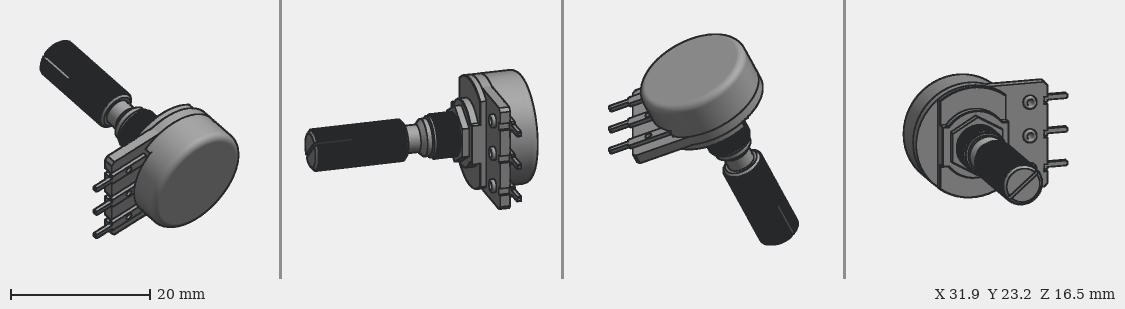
import cadquery as cq
import math


knurl_end = 14.0
neck_end = 16.0
cone_end = 16.78
collar_end = 17.55
bushing_start = 17.75
thread_start = 18.12
nut_start = 21.65
nut_end = 22.7
disc_start = 23.92
plate_start = 24.9
plate_end = 26.45
total_length = 31.9

total_width = 23.25

knurl_radius = 3.03
knurl_root_radius = 2.87
knurl_teeth = 60
knurl_chamfer_length = 0.48
knurl_chamfer_depth = 0.55
neck_radius = 2.0
slot_width = 0.48
slot_depth = 6.0
slot_angle = 140.0

collar_radius = 2.75
gap_radius = 2.25
bushing_radius = 3.03
thread_crest_radius = 3.25
thread_turns = 12
nut_across_flats = 7.5

flat_half_width = 4.98
boss_radius = 5.0
arm_half_height = 2.97
arc_end_height = 3.38
edge_chamfer = 0.1

housing_diameter = 16.5
housing_radius = housing_diameter / 2
wall = 0.48
back_fillet = 1.05
window_half_height = 6.38
window_depth = 1.05

plate_radius = 8.23
plate_half_height = 7.8
plate_edge = 11.5
corner_length = 0.48
corner_height = 0.55
notch_depth = 0.5
notch_width = 1.1

terminal_pitch = 5.0
terminal_heights = [-terminal_pitch, 0.0, terminal_pitch]
terminal_thickness = 0.6
terminal_start = 5.55
terminal_shoulder = 12.0
terminal_tip = total_width - housing_radius
terminal_width = 1.5
pin_width = 0.73
terminal_chamfer = 0.2
rivet_offset = 8.8
rivet_radius = 1.0
rivet_height = 0.6
rivet_fillet = 0.3
rivet_hole_radius = 0.48
rivet_mouth_fillet = 0.2


def section(x):
    """Workplane across the shaft at station x, with local axes Y and Z."""
    return cq.Workplane("YZ", origin=(x, 0, 0))


def disc(start, end, radius):
    return section(start).circle(radius).extrude(end - start)


def revolved(profile):
    """Solid of revolution about the X axis from (x, radius) points."""
    return cq.Workplane("XY").polyline(profile).close().revolve(360, (0, 0, 0), (1, 0, 0))


def make_knurled_shaft():
    tip_radius = knurl_radius - knurl_chamfer_depth
    envelope = revolved([
        (0, 0),
        (0, tip_radius),
        (knurl_chamfer_length, knurl_radius),
        (knurl_end - knurl_chamfer_length, knurl_radius),
        (knurl_end, tip_radius),
        (knurl_end, 0),
    ])
    half_pitch = math.pi / knurl_teeth
    outline = []
    for i in range(2 * knurl_teeth):
        radius = knurl_radius if i % 2 == 0 else knurl_root_radius
        outline.append((radius * math.cos(i * half_pitch), radius * math.sin(i * half_pitch)))
    teeth = section(0).polyline(outline).close().extrude(knurl_end)
    slot = (
        section(0)
        .transformed(rotate=(0, 0, slot_angle))
        .rect(3 * knurl_radius, slot_width)
        .extrude(slot_depth)
    )
    return teeth.intersect(envelope).cut(slot)


def make_collar_and_bushing():
    profile = [
        (knurl_end, 0),
        (knurl_end, neck_radius),
        (neck_end, neck_radius),
        (cone_end, collar_radius),
        (collar_end, collar_radius),
        (collar_end, gap_radius),
        (bushing_start, gap_radius),
        (bushing_start, bushing_radius),
        (thread_start, bushing_radius),
    ]
    pitch = (nut_start - thread_start) / thread_turns
    for i in range(thread_turns):
        root = thread_start + i * pitch
        profile.append((root + pitch / 2, thread_crest_radius))
        profile.append((root + pitch, bushing_radius))
    profile.append((nut_start, 0))
    return revolved(profile)


def make_nut():
    across_corners = nut_across_flats / math.cos(math.pi / 6)
    nut = section(nut_start).polygon(6, across_corners).extrude(nut_end - nut_start)
    return nut.rotate((0, 0, 0), (1, 0, 0), 90)


def make_mounting_base():
    arc_end = math.sqrt(boss_radius**2 - arc_end_height**2)
    arm_root = (boss_radius**2 - arc_end_height * arm_half_height) / arc_end
    boss = (
        section(nut_end)
        .moveTo(flat_half_width, -arm_half_height)
        .lineTo(flat_half_width, arm_half_height)
        .lineTo(arm_root, arm_half_height)
        .lineTo(arc_end, arc_end_height)
        .threePointArc((0, boss_radius), (-arc_end, arc_end_height))
        .lineTo(-arm_root, arm_half_height)
        .lineTo(-flat_half_width, arm_half_height)
        .lineTo(-flat_half_width, -arm_half_height)
        .lineTo(-arm_root, -arm_half_height)
        .lineTo(-arc_end, -arc_end_height)
        .threePointArc((0, -boss_radius), (arc_end, -arc_end_height))
        .lineTo(arm_root, -arm_half_height)
        .close()
        .extrude(plate_start - nut_end)
        .faces("<X")
        .chamfer(edge_chamfer)
    )
    thickness = plate_start - disc_start
    slab = section(disc_start).rect(2 * flat_half_width, 2 * housing_radius).extrude(thickness)
    base = disc(disc_start, plate_start, housing_radius).intersect(slab)
    return base.faces("<X").chamfer(edge_chamfer).union(boss)


def make_plate():
    thickness = plate_end - plate_start
    tongue = (
        section(plate_start)
        .polyline([
            (0, plate_half_height),
            (corner_length - plate_edge, plate_half_height),
            (-plate_edge, plate_half_height - corner_height),
            (-plate_edge, corner_height - plate_half_height),
            (corner_length - plate_edge, -plate_half_height),
            (0, -plate_half_height),
        ])
        .close()
        .extrude(thickness)
    )
    notches = (
        section(plate_start)
        .pushPoints([(-plate_edge, z) for z in terminal_heights])
        .rect(2 * notch_depth, notch_width)
        .extrude(thickness)
    )
    return disc(plate_start, plate_end, plate_radius).union(tongue).cut(notches)


def make_housing():
    cup = disc(plate_end, total_length, housing_radius).faces(">X").edges().fillet(back_fillet)
    cavity = disc(plate_end, total_length - wall, housing_radius - wall)
    cavity = cavity.faces(">X").edges().fillet(back_fillet - wall)
    window = (
        section(plate_end)
        .center(-housing_radius / 2, 0)
        .rect(housing_radius, 2 * window_half_height)
        .extrude(window_depth)
    )
    return cup.cut(cavity).cut(window)


def make_terminal(z):
    half_tab = terminal_width / 2
    half_pin = pin_width / 2
    upper_side = [
        (-terminal_start, half_tab),
        (terminal_chamfer - terminal_shoulder, half_tab),
        (-terminal_shoulder, half_tab - terminal_chamfer),
        (-terminal_shoulder, half_pin),
        (terminal_chamfer - terminal_tip, half_pin),
        (-terminal_tip, half_pin - terminal_chamfer),
    ]
    lower_side = [(y, -height) for y, height in reversed(upper_side)]
    return (
        section(plate_end)
        .center(0, z)
        .polyline(upper_side + lower_side)
        .close()
        .extrude(terminal_thickness)
    )


def make_rivet_head(z):
    head = section(plate_start).center(-rivet_offset, z).circle(rivet_radius).extrude(-rivet_height)
    head = head.faces("<X").edges().fillet(rivet_fillet)
    hole = section(plate_start).center(-rivet_offset, z).circle(rivet_hole_radius).extrude(-rivet_height)
    ring = head.cut(hole)
    mouth = ring.faces("<X").edges(cq.selectors.RadiusNthSelector(0))
    return mouth.fillet(rivet_mouth_fillet)


def make_rivet_holes():
    """Holes through the plate and the terminals behind it."""
    return (
        section(plate_start)
        .pushPoints([(-rivet_offset, z) for z in terminal_heights])
        .circle(rivet_hole_radius)
        .extrude(plate_end - plate_start + terminal_thickness)
    )


result = make_knurled_shaft().union(make_collar_and_bushing()).union(make_nut())
result = result.union(make_mounting_base()).union(make_plate()).union(make_housing())
for height in terminal_heights:
    result = result.union(make_terminal(height))
result = result.cut(make_rivet_holes())
for height in terminal_heights:
    result = result.union(make_rivet_head(height))